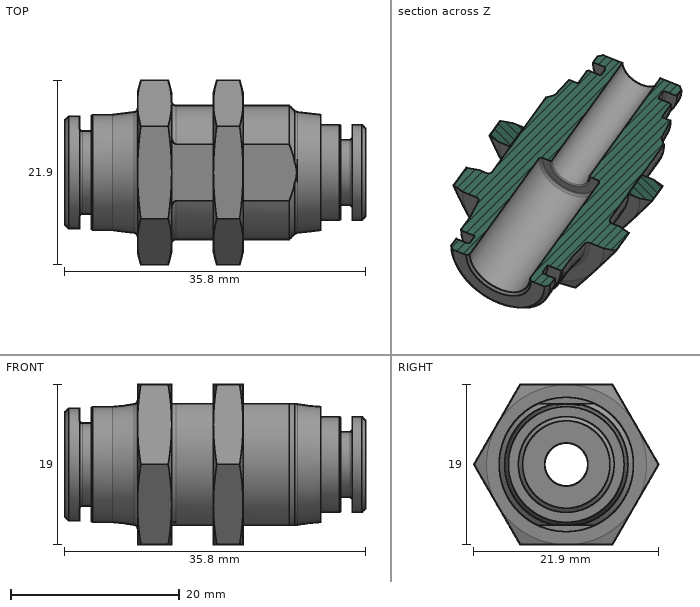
import cadquery as cq
import math

LENGTH = 35.8

HEX_FLATS = 19.0
HEX_CHAMFER_ANGLE = 15.0
TIP_CLEARANCE = 0.35
FLANGE_START = 8.65
FLANGE_WIDTH = 4.05
NUT_START = 17.7
NUT_WIDTH = 3.5

LARGE_COLLAR_RADIUS = 6.7
LARGE_COLLAR_WIDTH = 1.8
LARGE_NECK_RADIUS = 4.95
LARGE_NECK_END = 3.15
COLLAR_CHAMFER = 0.5
NECK_FILLET = 0.3

LARGE_SHOULDER_RADIUS = 6.87
LARGE_TAPER_START = 5.65
LARGE_TAPER_END = 8.25
TAPER_TOP_RADIUS = 7.2
SHOULDER_CHAMFER = 0.18

BARREL_FILLET = 0.5

BARREL_RADIUS = 8.0
BARREL_END = 27.3
BARREL_CHAMFER = 0.65
FLAT_HEIGHT = 7.23

SMALL_TAPER_START = 27.65
SMALL_TAPER_END = 30.43
SMALL_TAPER_RADIUS = 6.87
SMALL_SHOULDER_RADIUS = 5.7
SMALL_SHOULDER_END = 32.83
SMALL_NECK_RADIUS = 3.9
SMALL_COLLAR_WIDTH = 1.65

SOCKET_RADIUS = 4.05
SOCKET_DEPTH = 17.9
SOCKET_CHAMFER = 0.32
SEAT_FILLET = 0.32
BORE_RADIUS = 2.55
BORE_ROUNDING = 0.18

FLANGE_FILLET = FLANGE_START - LARGE_TAPER_END
FLANGE_END = FLANGE_START + FLANGE_WIDTH
SMALL_COLLAR_START = LENGTH - SMALL_COLLAR_WIDTH
DIAGONAL = math.sqrt(0.5)


def revolve_about_x(profile):
    """Revolve a closed XY profile a full turn about the X axis."""
    return profile.revolve(360, (0, 0, 0), (1, 0, 0))


def hexagon(start, width):
    """Hexagonal prism, flats facing +Z and -Z, with its corners turned down on both faces."""
    corner_radius = HEX_FLATS / math.sqrt(3)
    end = start + width
    prism = cq.Workplane("YZ").workplane(offset=start).polygon(6, 2 * corner_radius).extrude(width)
    face_radius = HEX_FLATS / 2
    tip_radius = corner_radius + TIP_CLEARANCE
    setback = (tip_radius - face_radius) * math.tan(math.radians(HEX_CHAMFER_ANGLE))
    envelope = revolve_about_x(
        cq.Workplane("XY")
        .moveTo(start, 0)
        .lineTo(start, face_radius)
        .lineTo(start + setback, tip_radius)
        .lineTo(end - setback, tip_radius)
        .lineTo(end, face_radius)
        .lineTo(end, 0)
        .close()
    )
    return prism.intersect(envelope)


def left_end():
    """Large collar, neck and tapered shoulder, flaring into the flange."""
    arc_mid = FLANGE_FILLET * (1 - DIAGONAL)
    neck_arc_mid = NECK_FILLET * (1 - DIAGONAL)
    return revolve_about_x(
        cq.Workplane("XY")
        .lineTo(0, LARGE_COLLAR_RADIUS - COLLAR_CHAMFER)
        .lineTo(COLLAR_CHAMFER, LARGE_COLLAR_RADIUS)
        .lineTo(LARGE_COLLAR_WIDTH, LARGE_COLLAR_RADIUS)
        .lineTo(LARGE_COLLAR_WIDTH, LARGE_NECK_RADIUS + NECK_FILLET)
        .threePointArc(
            (LARGE_COLLAR_WIDTH + neck_arc_mid, LARGE_NECK_RADIUS + neck_arc_mid),
            (LARGE_COLLAR_WIDTH + NECK_FILLET, LARGE_NECK_RADIUS),
        )
        .lineTo(LARGE_NECK_END, LARGE_NECK_RADIUS)
        .lineTo(LARGE_NECK_END, LARGE_SHOULDER_RADIUS - SHOULDER_CHAMFER)
        .lineTo(LARGE_NECK_END + SHOULDER_CHAMFER, LARGE_SHOULDER_RADIUS)
        .lineTo(LARGE_TAPER_START, LARGE_SHOULDER_RADIUS)
        .lineTo(LARGE_TAPER_END, TAPER_TOP_RADIUS)
        .threePointArc(
            (FLANGE_START - arc_mid, TAPER_TOP_RADIUS + arc_mid),
            (FLANGE_START, TAPER_TOP_RADIUS + FLANGE_FILLET),
        )
        .lineTo(FLANGE_START, 0)
        .close()
    )


def barrel():
    """Round barrel, filleted at the flange, with two flats running its whole length."""
    arc_mid = BARREL_FILLET * (1 - DIAGONAL)
    turned = revolve_about_x(
        cq.Workplane("XY")
        .moveTo(FLANGE_END, 0)
        .lineTo(FLANGE_END, BARREL_RADIUS + BARREL_FILLET)
        .threePointArc(
            (FLANGE_END + arc_mid, BARREL_RADIUS + arc_mid),
            (FLANGE_END + BARREL_FILLET, BARREL_RADIUS),
        )
        .lineTo(BARREL_END - BARREL_CHAMFER, BARREL_RADIUS)
        .lineTo(BARREL_END, BARREL_RADIUS - BARREL_CHAMFER)
        .lineTo(SMALL_TAPER_START, TAPER_TOP_RADIUS)
        .lineTo(SMALL_TAPER_START, 0)
        .close()
    )
    between_flats = cq.Workplane("XY").box(2 * LENGTH, HEX_FLATS, 2 * FLAT_HEIGHT)
    return turned.intersect(between_flats)


def right_end():
    """Tapered shoulder, small shoulder, neck and small collar."""
    neck_arc_mid = NECK_FILLET * (1 - DIAGONAL)
    return revolve_about_x(
        cq.Workplane("XY")
        .moveTo(SMALL_TAPER_START, 0)
        .lineTo(SMALL_TAPER_START, TAPER_TOP_RADIUS)
        .lineTo(SMALL_TAPER_END, SMALL_TAPER_RADIUS)
        .lineTo(SMALL_TAPER_END, SMALL_SHOULDER_RADIUS)
        .lineTo(SMALL_SHOULDER_END - SHOULDER_CHAMFER, SMALL_SHOULDER_RADIUS)
        .lineTo(SMALL_SHOULDER_END, SMALL_SHOULDER_RADIUS - SHOULDER_CHAMFER)
        .lineTo(SMALL_SHOULDER_END, SMALL_NECK_RADIUS)
        .lineTo(SMALL_COLLAR_START - NECK_FILLET, SMALL_NECK_RADIUS)
        .threePointArc(
            (SMALL_COLLAR_START - neck_arc_mid, SMALL_NECK_RADIUS + neck_arc_mid),
            (SMALL_COLLAR_START, SMALL_NECK_RADIUS + NECK_FILLET),
        )
        .lineTo(SMALL_COLLAR_START, SMALL_SHOULDER_RADIUS)
        .lineTo(LENGTH - COLLAR_CHAMFER, SMALL_SHOULDER_RADIUS)
        .lineTo(LENGTH, SMALL_SHOULDER_RADIUS - COLLAR_CHAMFER)
        .lineTo(LENGTH, 0)
        .close()
    )


def bore():
    """Tube socket from the left end, filleted at its seat, then the through bore with a rounded mouth."""
    seat_arc_mid = SEAT_FILLET * (1 - DIAGONAL)
    mouth_arc_mid = BORE_ROUNDING * (1 - DIAGONAL)
    return revolve_about_x(
        cq.Workplane("XY")
        .lineTo(0, SOCKET_RADIUS + SOCKET_CHAMFER)
        .lineTo(SOCKET_CHAMFER, SOCKET_RADIUS)
        .lineTo(SOCKET_DEPTH - SEAT_FILLET, SOCKET_RADIUS)
        .threePointArc(
            (SOCKET_DEPTH - seat_arc_mid, SOCKET_RADIUS - seat_arc_mid),
            (SOCKET_DEPTH, SOCKET_RADIUS - SEAT_FILLET),
        )
        .lineTo(SOCKET_DEPTH, BORE_RADIUS + BORE_ROUNDING)
        .threePointArc(
            (SOCKET_DEPTH + mouth_arc_mid, BORE_RADIUS + mouth_arc_mid),
            (SOCKET_DEPTH + BORE_ROUNDING, BORE_RADIUS),
        )
        .lineTo(LENGTH, BORE_RADIUS)
        .lineTo(LENGTH, 0)
        .close()
    )


def fitting_body():
    flange = hexagon(FLANGE_START, FLANGE_WIDTH)
    return left_end().union(flange).union(barrel()).union(right_end()).cut(bore())


def lock_nut():
    """Hexagonal nut with a round hole that fits the barrel."""
    hole = cq.Workplane("YZ").workplane(offset=NUT_START).circle(BARREL_RADIUS).extrude(NUT_WIDTH)
    return hexagon(NUT_START, NUT_WIDTH).cut(hole)


body = fitting_body()
nut = lock_nut()

result = cq.Compound.makeCompound([body.val(), nut.val()])